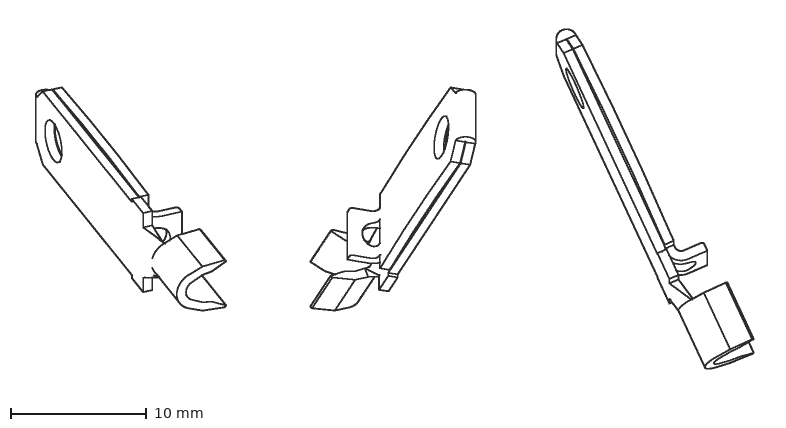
import cadquery as cq
import math

length = 27.3
sheet = 0.75
slit = 0.05
bow = 0.1
fold_radius = sheet + slit / 2
fold_width = 4.05
tongue_width = 6.33
chamfer_end_x = 1.95
hole_x = 3.95
hole_diameter = 3.2

shoulder_x = 18.78
shoulder_end_x = 20.95
shoulder_width = 6.85

leaf_end_x = 18.35
bow_end_x = 17.75
tab_back_x = 19.77
tab_top_y = 3.6
tab_inner_radius = 0.5
tab_tip_radius = 0.22
tab_hole_diameter = 2.05
tab_hole_y = 1.65

barrel_x = 22.55
barrel_height = 3.95
barrel_half_width = 2.05
wall_bend_y = 2.05
wall_bend_half_width = 1.9
floor_radius = 1.58
floor_angle = 70.0
neck_tip_angle = 1.0
neck_half_width = 2.18
neck_corner = 0.03
edge_chamfer = 0.15
edge_taper = 1.15

upper_inner_y = sheet + slit
upper_outer_y = upper_inner_y + sheet


def tongue_outline(end_x):
    """Outline of a leaf in X and Z: narrow at the fold, chamfered out to the full width."""
    return (
        cq.Workplane("XZ")
        .moveTo(0, -fold_width / 2)
        .lineTo(fold_radius, -fold_width / 2)
        .lineTo(chamfer_end_x, -tongue_width / 2)
        .lineTo(end_x, -tongue_width / 2)
        .lineTo(end_x, tongue_width / 2)
        .lineTo(chamfer_end_x, tongue_width / 2)
        .lineTo(fold_radius, fold_width / 2)
        .lineTo(0, fold_width / 2)
        .close()
        .extrude(-barrel_height)
    )


def centred_box(x_start, x_end, y_end, width):
    """Box from y = 0 to y_end, centred on z = 0."""
    return cq.Workplane("XY").box(x_end - x_start, y_end, width, (False, False, True)).translate((x_start, 0, 0))


def lower_leaf():
    """Flat leaf with the wide shoulder at its rear."""
    tongue = tongue_outline(shoulder_x).intersect(centred_box(fold_radius, shoulder_x, sheet, shoulder_width))
    return tongue.union(centred_box(shoulder_x, shoulder_end_x, sheet, shoulder_width))


def fold():
    """Half-round fold that joins the two leaves."""
    profile = (
        cq.Workplane("XY")
        .moveTo(fold_radius, 0)
        .threePointArc((0, fold_radius), (fold_radius, 2 * fold_radius))
        .close()
    )
    return profile.extrude(fold_width / 2, both=True)


def upper_leaf():
    """Slightly bowed leaf that ends in a narrower upturned tab."""
    bow_mid_x = (chamfer_end_x + bow_end_x) / 2
    tab_front_x = tab_back_x - sheet
    outer_radius = tab_inner_radius + sheet
    bend_x = tab_front_x - tab_inner_radius
    bend_y = upper_outer_y + tab_inner_radius
    diagonal = math.sqrt(0.5)
    profile = (
        cq.Workplane("XY")
        .moveTo(fold_radius, upper_inner_y)
        .lineTo(chamfer_end_x, upper_inner_y)
        .threePointArc((bow_mid_x, upper_inner_y + bow), (bow_end_x, upper_inner_y))
        .lineTo(bend_x, upper_inner_y)
        .threePointArc(
            (bend_x + outer_radius * diagonal, bend_y - outer_radius * diagonal),
            (tab_back_x, bend_y),
        )
        .lineTo(tab_back_x, tab_top_y)
        .lineTo(tab_front_x + tab_tip_radius, tab_top_y)
        .radiusArc((tab_front_x, tab_top_y - tab_tip_radius), -tab_tip_radius)
        .lineTo(tab_front_x, bend_y)
        .threePointArc(
            (bend_x + tab_inner_radius * diagonal, bend_y - tab_inner_radius * diagonal),
            (bend_x, upper_outer_y),
        )
        .lineTo(bow_end_x, upper_outer_y)
        .threePointArc((bow_mid_x, upper_outer_y + bow), (chamfer_end_x, upper_outer_y))
        .lineTo(fold_radius, upper_outer_y)
        .close()
    )
    outline = tongue_outline(leaf_end_x).union(centred_box(leaf_end_x, tab_back_x, tab_top_y, fold_width))
    tab_hole = (
        cq.Workplane("YZ", origin=(leaf_end_x, 0, 0))
        .center(tab_hole_y, 0)
        .circle(tab_hole_diameter / 2)
        .extrude(tab_back_x - leaf_end_x)
    )
    return profile.extrude(tongue_width / 2, both=True).intersect(outline).cut(tab_hole)


def floor_point(radius, angle):
    """(y, z) on the curved barrel floor, at an angle in degrees from its lowest line."""
    turn = math.radians(angle)
    return floor_radius - radius * math.cos(turn), radius * math.sin(turn)


def floor_section(x, angles):
    """Cross-section of the curved barrel floor, its arcs split at the given angles."""
    inner_radius = floor_radius - sheet
    section = cq.Workplane("YZ", origin=(x, 0, 0)).moveTo(*floor_point(floor_radius, angles[0]))
    for start, end in zip(angles, angles[1:]):
        middle = (start + end) / 2
        section = section.threePointArc(floor_point(floor_radius, middle), floor_point(floor_radius, end))
    section = section.lineTo(*floor_point(inner_radius, angles[-1]))
    for start, end in zip(angles[::-1], angles[-2::-1]):
        middle = (start + end) / 2
        section = section.threePointArc(floor_point(inner_radius, middle), floor_point(inner_radius, end))
    return section.close()


def barrel_wall(side):
    """One side wall of the barrel: flares outward, then leans slightly out up to a tapered edge."""
    inner_half_width = barrel_half_width - sheet
    profile = (
        cq.Workplane("YZ", origin=(barrel_x, 0, 0))
        .moveTo(*floor_point(floor_radius, side * floor_angle))
        .lineTo(wall_bend_y, side * wall_bend_half_width)
        .lineTo(barrel_height - edge_chamfer, side * barrel_half_width)
        .lineTo(barrel_height, side * (barrel_half_width - edge_chamfer))
        .lineTo(barrel_height - edge_taper, side * inner_half_width)
        .lineTo(wall_bend_y, side * (wall_bend_half_width - sheet))
        .lineTo(*floor_point(floor_radius - sheet, side * floor_angle))
        .close()
    )
    return profile.extrude(length - barrel_x)


def neck():
    """Ruled transition from the flat sheet to the curved barrel floor."""
    corner = neck_half_width - neck_corner
    across = [-neck_half_width, -corner, corner, neck_half_width]
    points = [(0, z) for z in across] + [(sheet, z) for z in reversed(across)]
    flat_section = cq.Workplane("YZ", origin=(shoulder_end_x, 0, 0)).polyline(points).close()
    angles = [-floor_angle, -neck_tip_angle, neck_tip_angle, floor_angle]
    sections = [flat_section.val(), floor_section(barrel_x, angles).val()]
    return cq.Workplane(cq.Solid.makeLoft(sections, True))


def barrel():
    """Open crimp barrel."""
    floor = floor_section(barrel_x, [-floor_angle, floor_angle]).extrude(length - barrel_x)
    return floor.union(barrel_wall(1)).union(barrel_wall(-1))


hole = cq.Workplane("XZ").center(hole_x, 0).circle(hole_diameter / 2).extrude(-barrel_height)

leaves = fold().union(lower_leaf()).union(upper_leaf()).cut(hole)
result = leaves.union(neck()).union(barrel())